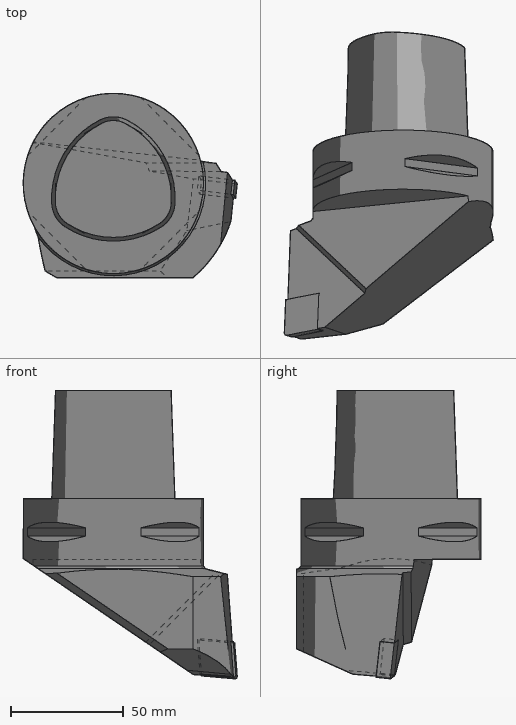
import cadquery as cq
import math


shank_height = 48.0
lobe_reach = 29.6
flat_reach = 25.6
lobe_radius = 13.2
shank_draw_in = 1.7

flange_radius = 40.0
flange_height = 27.0
groove_floor_distance = 35.6
groove_floor_top = -13.0
groove_floor_bottom = -16.6
groove_flank_angle = 30.0
groove_count = 4
groove_first_angle = 45.0
groove_overcut = 1.3

collar_bottom = -30.0
cone_inner_radius = 41.0
cone_inner_z = -31.1
head_radius = 54.8
cone_angle = 14.5
blank_bottom = -89.6

front_face_y = -41.92
back_slope_angle = 34.3
back_slope_start_z = -26.6
back_slope_chamfer = 3.1
heel_angle = 24.3
heel_start_z = -66.7
nose_face_z = -75.3
nose_face_slope = 0.077
side_face_x = 47.4
side_slope_y = 0.097
side_slope_z = 0.083

rake_offset = 17.3
rake_slope_x = 0.109
rake_slope_z = 0.103
rake_normal = cq.Vector(rake_slope_x, 1, -rake_slope_z)
step_depth = 3.3
step_run = 2.4
step_corner_x = 45.5
step_corner_z = -32.6

insert_side = 16.1
insert_thickness = 6.4
insert_relief_angle = 5.0
insert_nose_radius = 1.2
insert_tip_x = 55.1
insert_tip_z = -80.1

tool_extent = 256.0


def rake_y(x, z):
    """Y of the upper rake face at a given x and z."""
    return rake_offset - rake_slope_x * x + rake_slope_z * z


def outside_block(point, outward_normal):
    """Large block on the outward side of a flat face."""
    face = cq.Plane(origin=point, normal=outward_normal)
    return cq.Workplane(face).rect(tool_extent, tool_extent).extrude(tool_extent)


def polar(distance, angle):
    """Point at a distance and an angle in degrees from the axis."""
    turn = math.radians(angle)
    return cq.Vector(distance * math.cos(turn), distance * math.sin(turn))


def shank_section(z, inset):
    """Outline of three lobe arcs joined by three tangent side arcs, offset inward by inset."""
    lobe_centre = lobe_reach - lobe_radius
    side_radius = (lobe_radius**2 - flat_reach**2 - lobe_centre**2 + flat_reach * lobe_centre) / (
        2 * lobe_radius + lobe_centre - 2 * flat_reach
    )
    side_centre = side_radius - flat_reach

    def joint(lobe_angle, side_angle):
        centre = polar(side_centre, side_angle + 180)
        direction = (polar(lobe_centre, lobe_angle) - centre).normalized()
        return centre + direction * (side_radius - inset)

    lift = cq.Vector(0, 0, z)
    edges = []
    for lobe_angle in (90, 210, 330):
        lobe_start = joint(lobe_angle, lobe_angle - 60) + lift
        lobe_end = joint(lobe_angle, lobe_angle + 60) + lift
        side_end = joint(lobe_angle + 120, lobe_angle + 60) + lift
        lobe_peak = polar(lobe_reach - inset, lobe_angle) + lift
        side_middle = polar(flat_reach - inset, lobe_angle + 60) + lift
        edges.append(cq.Edge.makeThreePointArc(lobe_start, lobe_peak, lobe_end))
        edges.append(cq.Edge.makeThreePointArc(lobe_end, side_middle, side_end))
    return cq.Wire.assembleEdges(edges)


def make_shank():
    sections = [shank_section(0, 0), shank_section(shank_height, shank_draw_in)]
    return cq.Workplane(cq.Solid.makeLoft(sections, True))


def make_groove(angle):
    """Straight trapezoidal groove across the flange rim, facing the given angle."""
    mouth = flange_radius + groove_overcut
    flare = (mouth - groove_floor_distance) * math.tan(math.radians(groove_flank_angle))
    return (
        cq.Workplane("XZ")
        .moveTo(groove_floor_distance, groove_floor_top)
        .lineTo(mouth, groove_floor_top + flare)
        .lineTo(mouth, groove_floor_bottom - flare)
        .lineTo(groove_floor_distance, groove_floor_bottom)
        .close()
        .extrude(flange_radius, both=True)
        .rotate((0, 0, 0), (0, 0, 1), angle)
    )


def make_flange():
    flange = cq.Workplane("XY").circle(flange_radius).extrude(-flange_height)
    for index in range(groove_count):
        flange = flange.cut(make_groove(groove_first_angle + index * 360 / groove_count))
    return flange


def make_insert_step():
    """Lowered rake area around the insert, with a sloping wall running diagonally."""
    corner = (step_corner_x, rake_y(step_corner_x, step_corner_z), step_corner_z)
    along_wall = cq.Vector(1, 0, 1)
    away = rake_normal.cross(along_wall)
    section = cq.Plane(origin=corner, xDir=away, normal=away.cross(rake_normal))
    return (
        cq.Workplane(section)
        .lineTo(step_run, -step_depth)
        .lineTo(tool_extent, -step_depth)
        .lineTo(tool_extent, step_depth)
        .lineTo(0, step_depth)
        .close()
        .extrude(tool_extent, both=True)
    )


def make_head():
    """Turned head below the flange, bounded by its rake, front, side, heel and nose faces."""
    head_edge_z = cone_inner_z - (head_radius - cone_inner_radius) * math.tan(math.radians(cone_angle))
    head = (
        cq.Workplane("XZ")
        .moveTo(0, -flange_height)
        .lineTo(flange_radius, -flange_height)
        .lineTo(flange_radius, collar_bottom)
        .lineTo(cone_inner_radius, cone_inner_z)
        .lineTo(head_radius, head_edge_z)
        .lineTo(head_radius, blank_bottom)
        .lineTo(0, blank_bottom)
        .close()
        .revolve(360, (0, 0, 0), (0, 1, 0))
    )
    heel = math.radians(heel_angle)
    faces = [
        ((0, rake_offset, 0), rake_normal),
        ((0, front_face_y, 0), (0, -1, 0)),
        ((side_face_x, 0, 0), (1, -side_slope_y, side_slope_z)),
        ((0, front_face_y, heel_start_z), (0, -math.sin(heel), -math.cos(heel))),
        ((0, 0, nose_face_z), (-nose_face_slope, -nose_face_slope, -1)),
    ]
    for point, outward_normal in faces:
        head = head.cut(outside_block(point, outward_normal))
    return head.cut(make_insert_step())


def make_insert():
    """Rhombic insert lying flush with the lowered rake face, with a rounded cutting nose."""
    relief = math.radians(insert_relief_angle)
    long_leg = insert_side * math.cos(relief)
    short_leg = insert_side * math.sin(relief)
    floor_drop = step_depth * rake_normal.Length
    tip = (insert_tip_x, rake_y(insert_tip_x, insert_tip_z) - floor_drop, insert_tip_z)
    across = cq.Vector(1, -rake_slope_x, 0)
    seat = cq.Plane(origin=tip, xDir=across, normal=rake_normal)
    body = (
        cq.Workplane(seat)
        .lineTo(-long_leg, -short_leg)
        .lineTo(-long_leg - short_leg, -short_leg - long_leg)
        .lineTo(-short_leg, -long_leg)
        .close()
        .extrude(-insert_thickness)
    )
    nose_middle = seat.toWorldCoords((0, 0, -insert_thickness / 2))
    nose_edge = cq.selectors.NearestToPointSelector(nose_middle.toTuple())
    return body.edges(nose_edge).fillet(insert_nose_radius)


def make_holder(insert):
    """Shank, flange and head in one body, with the sloping back and the insert seat cut."""
    slope = math.radians(back_slope_angle)
    slope_normal = cq.Vector(-math.sin(slope), 0, -math.cos(slope))
    slope_start = (-flange_radius, front_face_y + back_slope_chamfer, back_slope_start_z)
    return (
        make_flange()
        .union(make_head())
        .cut(outside_block(slope_start, slope_normal))
        .cut(outside_block(slope_start, slope_normal + cq.Vector(0, -1, 0)))
        .union(make_shank())
        .cut(insert)
    )


insert = make_insert()
holder = make_holder(insert)
result = cq.Compound.makeCompound([*holder.solids().vals(), insert.val()])